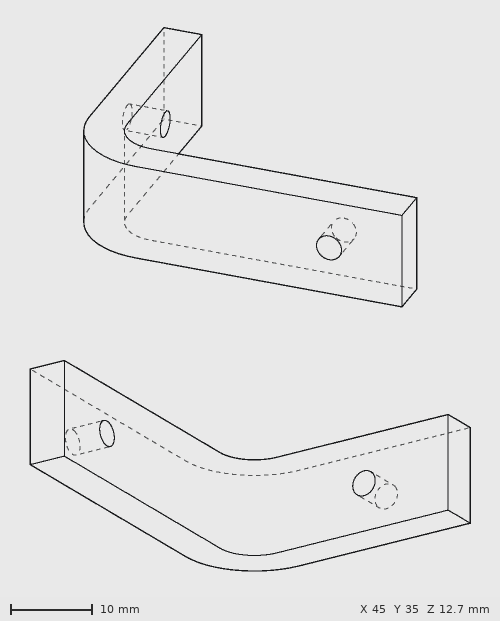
import cadquery as cq

length_x = 45.0
length_y = 35.0
height = 12.7
thickness = 5.0
inner_radius = 5.0
hole_diameter = 3.3
long_leg_hole_from_end = 9.6
short_leg_hole_from_end = 12.3

outer_radius = inner_radius + thickness


def bent_strip():
    """L-shaped strip with its outer corner at the origin and a concentric bend."""
    blank = cq.Workplane("XY").rect(length_x, length_y, centered=False).extrude(height)
    inside = (
        cq.Workplane("XY")
        .moveTo(thickness, thickness)
        .rect(length_x, length_y, centered=False)
        .extrude(height)
        .edges("|Z and <X and <Y")
        .fillet(inner_radius)
    )
    return blank.edges("|Z and <X and <Y").fillet(outer_radius).cut(inside)


def hole_cutter(center, direction):
    """Cylinder that passes through one leg, starting on its outer face."""
    return cq.Workplane(
        cq.Solid.makeCylinder(hole_diameter / 2, thickness, cq.Vector(*center), cq.Vector(*direction))
    )


long_leg_hole = hole_cutter((length_x - long_leg_hole_from_end, 0, height / 2), (0, 1, 0))
short_leg_hole = hole_cutter((0, length_y - short_leg_hole_from_end, height / 2), (1, 0, 0))

result = bent_strip().cut(long_leg_hole).cut(short_leg_hole)